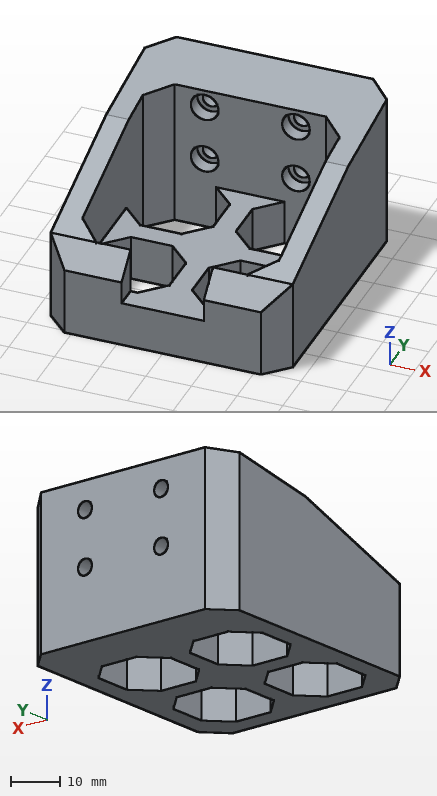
import cadquery as cq

width = 53.0
depth = 61.5
height = 35.0
wall = 5.0
corner = wall

front_height = 15.0
lip_height = front_height + wall
break_y = 35.35
break_height = 30.5

floor_thickness = 10.0
opening = (width - 3 * wall) / 2
cavity_width = width - 2 * wall
cavity_depth = 2 * opening + wall
cavity_back = wall + cavity_depth
opening_pitch = opening + wall

notch_width = 18.0

screw_diameter = 3.6
head_diameter = 6.0
back_wall = depth - cavity_back
head_recess = 3.5
screw_spacing_x = 20.0
screw_heights = (16.25, 28.65)


def cut_corner_prism(size_x, size_y, size_z, center_x, front_y, bottom_z):
    """Upright box with 45 degree cuts on its four vertical edges."""
    return (
        cq.Workplane("XY")
        .box(size_x, size_y, size_z, centered=(True, False, False))
        .edges("|Z")
        .chamfer(corner)
        .translate((center_x, front_y, bottom_z))
    )


def make_body():
    """Block with cut corners, trimmed by the sloping side profile."""
    profile = (
        cq.Workplane("YZ")
        .polyline([
            (0, 0),
            (depth, 0),
            (depth, height),
            (break_y, break_height),
            (wall, lip_height),
            (0, front_height),
        ])
        .close()
        .extrude(width / 2, both=True)
    )
    return profile.intersect(cut_corner_prism(width, depth, height, 0, 0, 0))


def make_notch():
    """Opening in the front wall, level with the cavity floor."""
    return (
        cq.Workplane("XY")
        .box(notch_width, 2 * wall, height, centered=(True, False, False))
        .translate((0, 0, floor_thickness))
    )


def make_screw_hole(x, z):
    """Through hole with a head recess opening into the cavity."""
    axis = cq.Vector(0, 1, 0)
    start = cq.Vector(x, cavity_back, z)
    shank = cq.Solid.makeCylinder(screw_diameter / 2, back_wall, start, axis)
    head = cq.Solid.makeCylinder(head_diameter / 2, head_recess, start, axis)
    return cq.Workplane(shank).union(cq.Workplane(head))


result = make_body()
result = result.cut(cut_corner_prism(cavity_width, cavity_depth, height, 0, wall, floor_thickness))
result = result.cut(make_notch())

for side in (-1, 1):
    for row in range(2):
        result = result.cut(cut_corner_prism(
            opening, opening, floor_thickness,
            side * opening_pitch / 2, wall + row * opening_pitch, 0,
        ))
    for screw_z in screw_heights:
        result = result.cut(make_screw_hole(side * screw_spacing_x / 2, screw_z))